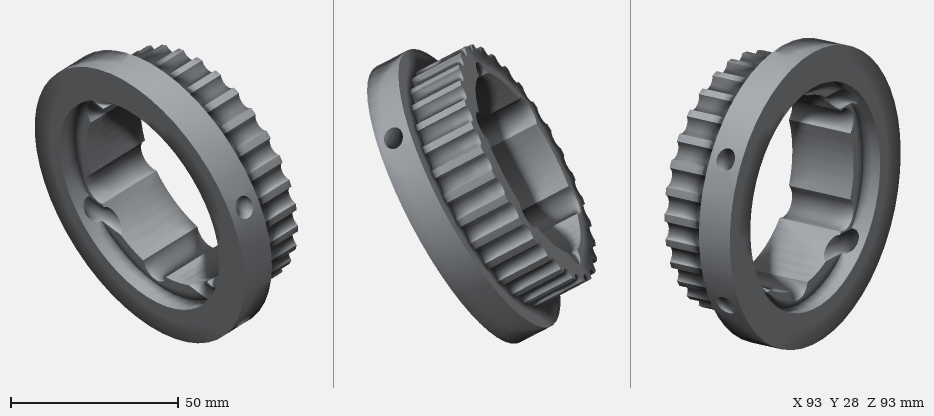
import cadquery as cq
import math

total_length = 28.0
flange_diameter = 93
flange_length = 11.0
toothed_diameter = 79.05

recess_diameter = 70.6
bore_diameter = 60.3
recess_depth = 6.0

scallop_count = 6
scallop_diameter = 10.2
scallop_reach = 33.85
scallop_center_radius = scallop_reach - scallop_diameter / 2

tooth_count = 30
land_width = 2.4
groove_depth = 2.2

pin_hole_diameter = 6.2
pin_hole_offset = 23.1


def cylinder(diameter, start, end):
    """Cylinder about the Y axis between two Y positions."""
    plane = cq.Workplane("XZ", origin=(0, start, 0))
    return plane.circle(diameter / 2).extrude(start - end)


def belt_grooves():
    """Arc-bottomed grooves, with a tooth land centred on the -X side."""
    tip_radius = toothed_diameter / 2
    pitch_angle = 2 * math.pi / tooth_count
    half_angle = pitch_angle / 2 - math.asin(land_width / toothed_diameter)
    half_width = tip_radius * math.sin(half_angle)
    lip_radius = tip_radius * math.cos(half_angle)
    bottom_radius = tip_radius - groove_depth
    sagitta = lip_radius - bottom_radius
    arc_radius = (half_width**2 + sagitta**2) / (2 * sagitta)
    center_radius = bottom_radius + arc_radius
    return (
        cq.Workplane("XZ", origin=(0, flange_length, 0))
        .polarArray(center_radius, 180 / tooth_count, 360, tooth_count)
        .circle(arc_radius)
        .extrude(flange_length - total_length)
    )


def bore_scallops():
    """Through scallops, one at the top and the rest evenly spaced."""
    return (
        cq.Workplane("XZ")
        .polarArray(scallop_center_radius, 90, 360, scallop_count)
        .circle(scallop_diameter / 2)
        .extrude(-total_length)
    )


def pin_holes():
    """Two holes through the full flange width, above and below the axis."""
    return (
        cq.Workplane("YZ", origin=(-flange_diameter / 2, 0, 0))
        .pushPoints([(flange_length / 2, side * pin_hole_offset) for side in (-1, 1)])
        .circle(pin_hole_diameter / 2)
        .extrude(flange_diameter)
    )


flange = cylinder(flange_diameter, 0, flange_length)
hub = cylinder(toothed_diameter, flange_length, total_length).cut(belt_grooves())

result = (
    flange.union(hub)
    .cut(cylinder(bore_diameter, 0, total_length))
    .cut(cylinder(recess_diameter, 0, recess_depth))
    .cut(bore_scallops())
    .cut(pin_holes())
)